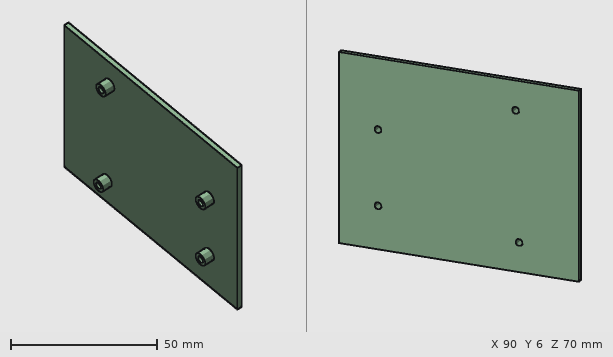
import cadquery as cq

PLATE_WIDTH = 90.0
PLATE_HEIGHT = 70.0
PLATE_THICKNESS = 2.0

STANDOFF_DIAMETER = 5.0
STANDOFF_LENGTH = 4.0
HOLE_DIAMETER = 2.5

LOWER_LEFT_X = 22.35
UPPER_LEFT_OFFSET = 1.3
RIGHT_OFFSET = 53.0
LOWER_STEP = 5.1
RIGHT_SPACING = 27.9
UPPER_STEP = 15.2

UPPER_LEFT_X = LOWER_LEFT_X + UPPER_LEFT_OFFSET
RIGHT_X = LOWER_LEFT_X + RIGHT_OFFSET

PATTERN_HEIGHT = LOWER_STEP + RIGHT_SPACING + UPPER_STEP
LOWER_LEFT_Z = (PLATE_HEIGHT - PATTERN_HEIGHT) / 2
LOWER_RIGHT_Z = LOWER_LEFT_Z + LOWER_STEP
UPPER_RIGHT_Z = LOWER_RIGHT_Z + RIGHT_SPACING
UPPER_LEFT_Z = UPPER_RIGHT_Z + UPPER_STEP

STANDOFF_CENTRES = [
    (LOWER_LEFT_X, LOWER_LEFT_Z),
    (RIGHT_X, LOWER_RIGHT_Z),
    (RIGHT_X, UPPER_RIGHT_Z),
    (UPPER_LEFT_X, UPPER_LEFT_Z),
]


def make_plate():
    """Flat plate with its front face at Y = 0 and its lower left corner at the origin."""
    return cq.Workplane("XY").box(PLATE_WIDTH, PLATE_THICKNESS, PLATE_HEIGHT, centered=False)


def make_standoffs():
    """Round posts projecting from the front face toward -Y."""
    posts = cq.Workplane("XZ").pushPoints(STANDOFF_CENTRES)
    return posts.circle(STANDOFF_DIAMETER / 2).extrude(STANDOFF_LENGTH)


def make_holes():
    """Screw holes running from the standoff tips through the back of the plate."""
    hole_length = STANDOFF_LENGTH + PLATE_THICKNESS
    holes = cq.Workplane("XZ", origin=(0, PLATE_THICKNESS, 0)).pushPoints(STANDOFF_CENTRES)
    return holes.circle(HOLE_DIAMETER / 2).extrude(hole_length)


result = make_plate().union(make_standoffs()).cut(make_holes())